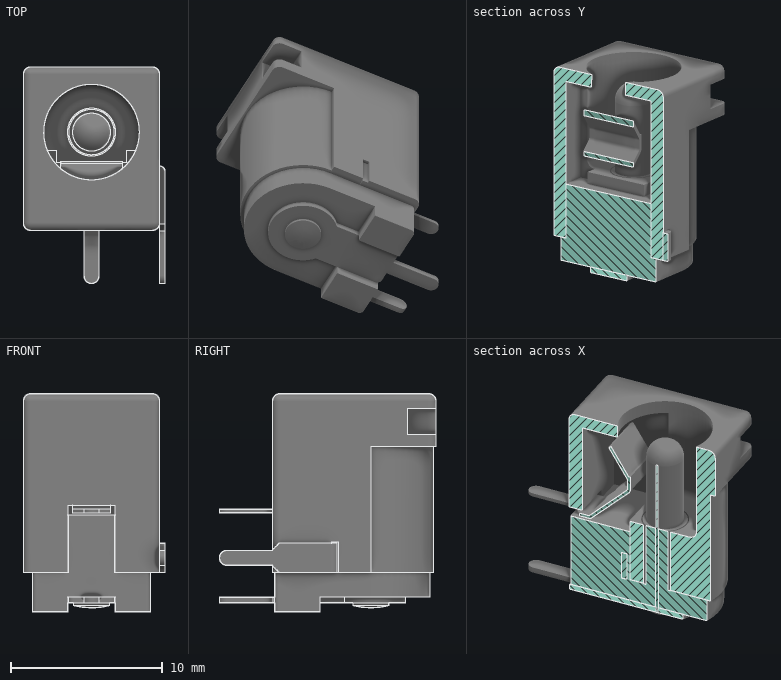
import cadquery as cq
import math


overall_width = 9.36
top_z = 14.4
housing_bottom_z = 2.59
foot_height = 0.98

housing_width = 9.0
housing_half_width = housing_width / 2
housing_back_y = 4.3
housing_front_y = -6.5
housing_depth = housing_back_y - housing_front_y
edge_radius = 0.5
round_top_z = 10.9
round_back_radius = 4.15
corner_notch_depth = 2.02
corner_notch_front_y = 2.42
corner_notch_bottom_z = 11.7
corner_notch_top_z = 13.4

socket_radius = 3.15
socket_floor_z = 7.2
socket_floor_radius = 0.5
boss_hole_radius = 1.58
cavity_half_width = 3.45
cavity_back_y = -1.21
cavity_front_y = -5.47
cavity_top_z = 13.48
ledge_half_width = 2.3
ledge_front_y = -2.02
window_half_width = 1.55
window_top_z = 7.03

base_half_width = 3.9
base_front_y = -6.35
base_corner_radius = 0.3
foot_back_y = -3.34
insert_top_z = 6.38
key_half_width = 1.51
boss_radius = 1.5

pin_radius = 1.25
pin_dome_z = 12.1
rivet_radius = 1.2
rivet_rim_height = 0.17
rivet_dome_height = 0.16

tail_end_y = -10.0
tail_width = 1.0
tail_half_width = tail_width / 2
plate_thickness = 0.39

ring_radius = 2.3
ring_strip_half_width = 1.51
ring_strip_front_y = -6.45
ring_strip_corner_radius = 0.35
ring_bottom_z = foot_height - plate_thickness

side_outer_x = overall_width - housing_half_width
side_end_x = -4.32
side_back_y = -2.22
side_top_z = 4.54
side_shoulder_y = -6.05
side_bend_radius = 0.4
slot_back_y = -2.13
slot_top_z = 4.61

contact_thickness = 0.25
contact_bottom_z = 6.54
contact_neck_half_width = 1.25
contact_half_width = 2.05
contact_taper_front_y = -6.48
contact_widening_y = -4.32
contact_bend_y = -4.9
contact_nose_y = -1.93
contact_nose_height = 1.15
contact_shelf_width = 0.15
contact_flare_y = -3.37
contact_flare_angle = math.radians(57)
contact_bend_angle = math.radians(45)
contact_bend_radius = 0.5


def block(x_min, x_max, y_min, y_max, z_min, z_max):
    """Axis-aligned box between the given limits."""
    size = (x_max - x_min, y_max - y_min, z_max - z_min)
    return cq.Workplane("XY").box(*size, centered=False).translate((x_min, y_min, z_min))


def centred_block(half_width, y_min, y_max, z_min, z_max):
    """Box that is symmetric about X = 0."""
    return block(-half_width, half_width, y_min, y_max, z_min, z_max)


def cylinder(radius, z_min, z_max):
    """Cylinder on the socket axis."""
    return cq.Workplane("XY", origin=(0, 0, z_min)).circle(radius).extrude(z_max - z_min)


def make_ledge():
    """Part of the cavity that stays filled below the socket floor."""
    return centred_block(ledge_half_width, ledge_front_y, cavity_back_y, housing_bottom_z, socket_floor_z)


def make_housing(side_terminal):
    housing = (
        centred_block(housing_half_width, housing_front_y, housing_back_y, housing_bottom_z, top_z)
        .edges("|Z")
        .fillet(edge_radius)
        .faces(">Z")
        .edges()
        .fillet(edge_radius)
    )

    back = centred_block(housing_width, 0, housing_depth, housing_bottom_z, round_top_z)
    housing = housing.cut(back.cut(cylinder(round_back_radius, housing_bottom_z, round_top_z)))

    for side in (-1, 1):
        inner_x = side * (housing_half_width - corner_notch_depth)
        outer_x = side * housing_width
        housing = housing.cut(
            block(
                min(inner_x, outer_x),
                max(inner_x, outer_x),
                corner_notch_front_y,
                housing_depth,
                corner_notch_bottom_z,
                corner_notch_top_z,
            )
        )

    socket = cylinder(socket_radius, socket_floor_z, top_z)
    socket = socket.faces("<Z").edges().fillet(socket_floor_radius)
    housing = housing.cut(socket).cut(cylinder(boss_hole_radius, housing_bottom_z, socket_floor_z))

    cavity = centred_block(cavity_half_width, cavity_front_y, cavity_back_y, housing_bottom_z, cavity_top_z)
    window = centred_block(
        window_half_width, housing_front_y, cavity_front_y, housing_bottom_z, window_top_z
    )
    housing = housing.cut(cavity.cut(make_ledge())).cut(window)

    slot = centred_block(
        housing_width, side_back_y - plate_thickness, slot_back_y, housing_bottom_z, slot_top_z
    )
    return housing.cut(slot).cut(side_terminal)


def make_base(side_terminal):
    plate = centred_block(base_half_width, base_front_y, 0, 0, housing_bottom_z)
    plate = plate.edges("|Z and <Y").fillet(base_corner_radius)
    plate = plate.union(cylinder(base_half_width, 0, housing_bottom_z))
    plate = plate.cut(centred_block(base_half_width, foot_back_y, base_half_width, 0, foot_height))
    plate = plate.cut(centred_block(window_half_width, base_front_y, foot_back_y, 0, foot_height))

    insert = centred_block(cavity_half_width, cavity_front_y, cavity_back_y, housing_bottom_z, insert_top_z)
    key = centred_block(key_half_width, base_front_y, cavity_front_y, housing_bottom_z, insert_top_z)
    boss = cylinder(boss_radius, housing_bottom_z, socket_floor_z)
    base = plate.union(insert.cut(make_ledge())).union(key).union(boss)
    return base.cut(cylinder(pin_radius, 0, top_z)).cut(side_terminal)


def make_pin():
    """Round-ended contact pin with a low rivet head underneath."""
    rim_z = ring_bottom_z - rivet_rim_height
    tip_z = rim_z - rivet_dome_height
    rivet_dome_radius = (rivet_radius**2 + rivet_dome_height**2) / (2 * rivet_dome_height)
    half_angle = math.asin(rivet_radius / rivet_dome_radius) / 2
    rivet_mid = (
        rivet_dome_radius * math.sin(half_angle),
        tip_z + rivet_dome_radius * (1 - math.cos(half_angle)),
    )
    dome_mid = (pin_radius * math.sqrt(0.5), pin_dome_z + pin_radius * math.sqrt(0.5))
    return (
        cq.Workplane("XZ")
        .moveTo(0, tip_z)
        .threePointArc(rivet_mid, (rivet_radius, rim_z))
        .lineTo(rivet_radius, ring_bottom_z)
        .lineTo(pin_radius, ring_bottom_z)
        .lineTo(pin_radius, pin_dome_z)
        .threePointArc(dome_mid, (0, pin_dome_z + pin_radius))
        .close()
        .revolve(360, (0, 0), (0, 1))
    )


def make_tail_outline(start_y):
    """Plan outline of a straight tail with a round end, extruded through the full height."""
    arc_y = tail_end_y + tail_half_width
    return (
        cq.Workplane("XY")
        .moveTo(-tail_half_width, start_y)
        .lineTo(-tail_half_width, arc_y)
        .threePointArc((0, tail_end_y), (tail_half_width, arc_y))
        .lineTo(tail_half_width, start_y)
        .close()
        .extrude(top_z)
    )


def make_ring_terminal():
    """Flat terminal around the rivet, under the base."""
    strip = centred_block(ring_strip_half_width, ring_strip_front_y, 0, ring_bottom_z, foot_height)
    strip = strip.edges("|Z and <Y").fillet(ring_strip_corner_radius)
    slab = centred_block(ring_strip_half_width, tail_end_y, 0, ring_bottom_z, foot_height)
    tail = make_tail_outline(ring_strip_front_y).intersect(slab)
    disc = cylinder(ring_radius, ring_bottom_z, foot_height)
    return strip.union(disc).union(tail).cut(cylinder(pin_radius, 0, foot_height))


def make_side_terminal():
    """L-shaped strip: one leg crosses the jack, the other runs forward along the +X side."""
    inner_x = side_outer_x - plate_thickness
    middle_z = (housing_bottom_z + side_top_z) / 2
    shoulder_height = side_top_z - middle_z - tail_half_width
    neck_y = side_shoulder_y - shoulder_height
    arc_y = tail_end_y + tail_half_width

    outline = (
        cq.Workplane("YZ", origin=(side_end_x, 0, 0))
        .moveTo(side_back_y, housing_bottom_z)
        .lineTo(side_shoulder_y, housing_bottom_z)
        .lineTo(neck_y, middle_z - tail_half_width)
        .lineTo(arc_y, middle_z - tail_half_width)
        .threePointArc((tail_end_y, middle_z), (arc_y, middle_z + tail_half_width))
        .lineTo(neck_y, middle_z + tail_half_width)
        .lineTo(side_shoulder_y, side_top_z)
        .lineTo(side_back_y, side_top_z)
        .close()
        .extrude(side_outer_x - side_end_x)
    )

    leg = block(
        side_end_x, side_outer_x, side_back_y - plate_thickness, side_back_y, housing_bottom_z, side_top_z
    )
    plate = block(inner_x, side_outer_x, tail_end_y, side_back_y, housing_bottom_z, side_top_z)
    strip = leg.union(plate).edges("|Z and >X and >Y").fillet(side_bend_radius)
    return strip.intersect(outline)


def nearest_edge(corner):
    """Selector for the edge along X through the given (Y, Z) corner."""
    return cq.selectors.NearestToPointSelector((0, *corner))


def make_spring_contact():
    """Sheet spring: flat tail, rising arm, upright nose with a shelf, flare leaning back."""
    tail_top_z = contact_bottom_z + contact_thickness
    nose_bottom_z = contact_bottom_z + (contact_nose_y - contact_bend_y) * math.tan(contact_bend_angle)
    nose_top_z = nose_bottom_z + contact_nose_height
    bend_shift = contact_thickness * math.tan(contact_bend_angle / 2)

    flare_root_y = contact_nose_y - contact_shelf_width
    flare_slope = math.tan(contact_flare_angle)
    flare_z = nose_top_z + (flare_root_y - contact_flare_y) * flare_slope
    flare_end_y_step = contact_thickness * math.sin(contact_flare_angle)
    flare_end_z_step = contact_thickness * math.cos(contact_flare_angle)
    rear_nose_y = contact_nose_y - contact_thickness
    rear_drop = contact_thickness / math.cos(contact_flare_angle)
    rear_nose_top_z = nose_top_z + (flare_root_y - rear_nose_y) * flare_slope - rear_drop

    lower_corner = (contact_nose_y, nose_bottom_z)
    rear_upper_corner = (rear_nose_y, rear_nose_top_z)
    rear_lower_corner = (rear_nose_y, nose_bottom_z + bend_shift)

    sheet = (
        cq.Workplane("YZ", origin=(-contact_half_width, 0, 0))
        .polyline(
            [
                (tail_end_y, contact_bottom_z),
                (contact_bend_y, contact_bottom_z),
                lower_corner,
                (contact_nose_y, nose_top_z),
                (flare_root_y, nose_top_z),
                (contact_flare_y, flare_z),
                (contact_flare_y - flare_end_y_step, flare_z - flare_end_z_step),
                rear_upper_corner,
                rear_lower_corner,
                (contact_bend_y - bend_shift, tail_top_z),
                (tail_end_y, tail_top_z),
            ]
        )
        .close()
        .extrude(2 * contact_half_width)
    )
    sheet = sheet.edges(nearest_edge(lower_corner)).fillet(contact_bend_radius)
    for corner in (rear_upper_corner, rear_lower_corner):
        sheet = sheet.edges(nearest_edge(corner)).fillet(contact_bend_radius - contact_thickness)

    taper_back_y = contact_taper_front_y + contact_neck_half_width - tail_half_width
    neck = (
        cq.Workplane("XY")
        .polyline(
            [
                (-tail_half_width, contact_taper_front_y),
                (tail_half_width, contact_taper_front_y),
                (contact_neck_half_width, taper_back_y),
                (contact_neck_half_width, contact_widening_y),
                (-contact_neck_half_width, contact_widening_y),
                (-contact_neck_half_width, taper_back_y),
            ]
        )
        .close()
        .extrude(top_z)
    )
    spring = centred_block(contact_half_width, contact_widening_y, 0, 0, top_z)
    return sheet.intersect(make_tail_outline(contact_taper_front_y).union(neck).union(spring))


side_terminal = make_side_terminal()
housing = make_housing(side_terminal)
base = make_base(side_terminal)
pin = make_pin()
ring_terminal = make_ring_terminal()
spring_contact = make_spring_contact()

bodies = (housing, base, pin, ring_terminal, side_terminal, spring_contact)
result = cq.Compound.makeCompound([body.solids().val() for body in bodies])